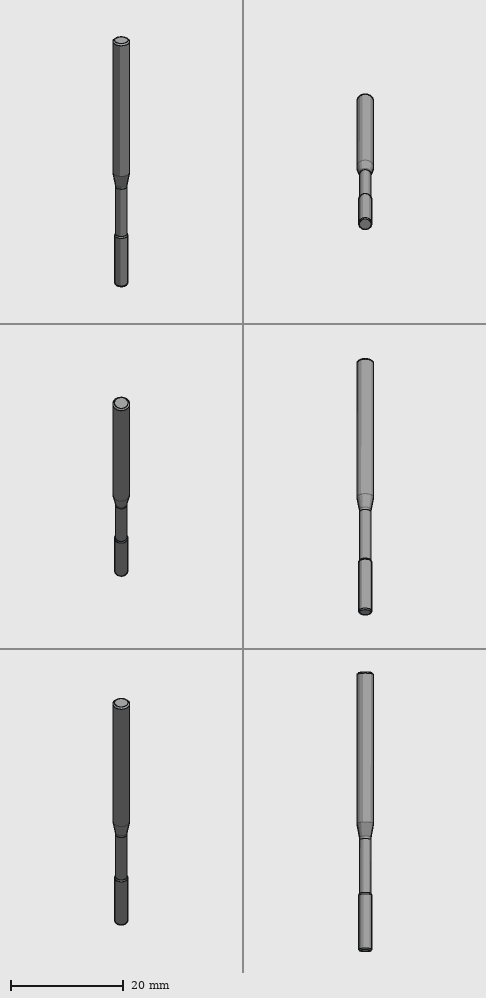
import cadquery as cq

total_length = 50.0
shank_diameter = 3.0
neck_diameter = 2.05
cutter_diameter = 2.35
taper_end_diameter = 2.1

tip_length = 20.0
cutter_length = 10.0
collar_length = 0.45
taper_length = 2.45

shank_chamfer_width = 0.3
shank_chamfer_height = 0.3
tip_chamfer_width = 0.15
tip_chamfer_height = 0.25
shoulder_height = 0.3

shank_radius = shank_diameter / 2
neck_radius = neck_diameter / 2
taper_end_radius = taper_end_diameter / 2
cutter_radius = cutter_diameter / 2


def revolve_profile(outline):
    """Revolve (radius, height) points, closed along the Z axis, into a solid."""
    axis_start = (0, outline[0][1])
    axis_end = (0, outline[-1][1])
    profile = cq.Workplane("XZ").polyline([axis_start, *outline, axis_end]).close()
    return profile.revolve(360, (0, 0, 0), (0, 1, 0))


def make_shank():
    """Chamfered gripping cylinder that tapers down to a short, slightly conical collar."""
    taper_bottom = tip_length + collar_length
    return revolve_profile([
        (neck_radius, tip_length),
        (taper_end_radius, taper_bottom),
        (shank_radius, taper_bottom + taper_length),
        (shank_radius, total_length - shank_chamfer_height),
        (shank_radius - shank_chamfer_width, total_length),
    ])


def make_tip():
    """Cutting end with a chamfered face, a sloped shoulder and a slimmer neck."""
    return revolve_profile([
        (cutter_radius - tip_chamfer_width, 0),
        (cutter_radius, tip_chamfer_height),
        (cutter_radius, cutter_length),
        (neck_radius, cutter_length + shoulder_height),
        (neck_radius, tip_length),
    ])


shank = make_shank()
tip = make_tip()

result = cq.Compound.makeCompound([shank.val(), tip.val()])